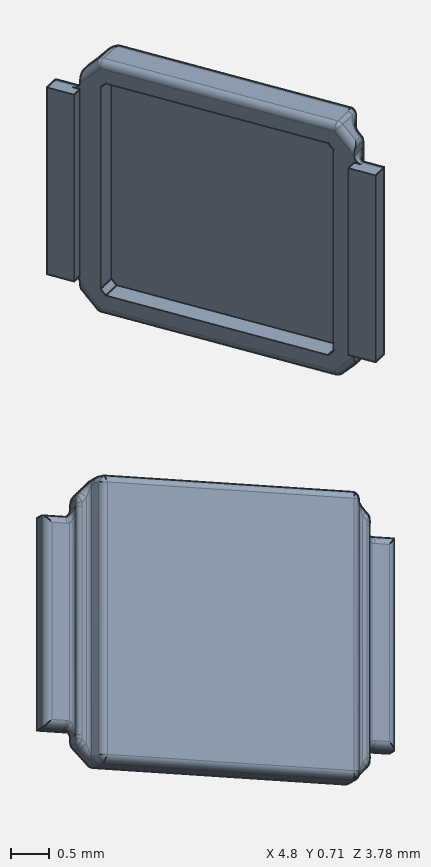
import cadquery as cq
import math

length = 4.8
height = 3.78
total_depth = 0.71

pad_width = 0.4
pad_height = 2.795
pad_top = 0.31

rim_y = 0.16
flange_y = 0.465
corner_chamfer = 0.25
crown_draft = 20.0
can_half_x = length / 2 - pad_width
can_half_z = height / 2
crown_half_x = can_half_x - corner_chamfer
crown_foot_x = crown_half_x + (total_depth - flange_y) * math.tan(math.radians(crown_draft))

pocket_length = 3.4
pocket_height = 3.17
pocket_depth = 0.3
pocket_chamfer = 0.075

edge_radius = 0.1
step_radius = 0.06

tolerance = 0.0005


def near(value, target):
    return abs(value - target) < tolerance


def fillet_where(body, radius, test):
    """Round every edge whose centre (|x|, y) passes the test."""
    chosen = [edge for edge in body.edges().vals() if test(abs(edge.Center().x), edge.Center().y)]
    return body.newObject(chosen).fillet(radius)


def chamfered_block(size_x, size_z, chamfer, y_start, y_end):
    """Block along Y with its four upright corners chamfered."""
    block = cq.Workplane("XY").box(size_x, y_end - y_start, size_z)
    block = block.edges("|Y").chamfer(chamfer)
    return block.translate((0, (y_start + y_end) / 2, 0))


def can_blank():
    """Sharp-edged can: chamfered block trimmed to the stepped profile of its X ends."""
    block = chamfered_block(2 * can_half_x, height, corner_chamfer, rim_y, total_depth)
    half_profile = [
        (can_half_x, rim_y),
        (can_half_x, flange_y),
        (crown_foot_x, flange_y),
        (crown_half_x, total_depth),
    ]
    mirrored_profile = [(-x, y) for x, y in reversed(half_profile)]
    profile = cq.Workplane("XY").polyline(half_profile + mirrored_profile).close()
    return block.intersect(profile.extrude(can_half_z, both=True))


def rim_envelope():
    """Block with a rounded rim that shares the can's Z sides and chamfers but overhangs its X ends."""
    overhang = 2 * edge_radius
    block = chamfered_block(
        2 * (can_half_x + overhang),
        height,
        corner_chamfer + overhang,
        rim_y,
        total_depth,
    )
    block = block.edges("|Y and (>Z or <Z)").fillet(edge_radius)
    return block.faces("<Y").edges().fillet(edge_radius)


def is_corner_edge(x, y):
    """True for the edges that border a corner chamfer between the rim and the closed face."""
    between_faces = rim_y + tolerance < y < total_depth - tolerance
    on_flange = near(x, can_half_x) and not near(y, flange_y)
    on_crown = near(x, crown_half_x) or crown_half_x < x < crown_foot_x
    return between_faces and (on_flange or on_crown)


def rounded_can():
    can = can_blank()
    can = fillet_where(can, step_radius, lambda x, y: near(y, flange_y) and near(x, crown_foot_x))
    can = fillet_where(can, edge_radius, is_corner_edge)
    can = fillet_where(can, step_radius, lambda x, y: y > flange_y - step_radius and near(x, can_half_x))
    can = fillet_where(can, edge_radius, lambda x, y: near(y, total_depth))
    return can.intersect(rim_envelope())


def pad():
    """Pad at the -X end, flaring with concave rounds where it meets the can wall."""
    outer_x = -length / 2
    wall_x = -can_half_x
    half_z = pad_height / 2
    side_x = wall_x - edge_radius
    top_x = wall_x - step_radius
    bend = 1 - math.sqrt(0.5)

    outline = (
        cq.Workplane("XZ")
        .moveTo(outer_x, -half_z)
        .lineTo(side_x, -half_z)
        .threePointArc(
            (wall_x - bend * edge_radius, -half_z - bend * edge_radius),
            (wall_x, -half_z - edge_radius),
        )
        .lineTo(wall_x, half_z + edge_radius)
        .threePointArc(
            (wall_x - bend * edge_radius, half_z + bend * edge_radius),
            (side_x, half_z),
        )
        .lineTo(outer_x, half_z)
        .close()
        .extrude(-total_depth)
    )
    section = (
        cq.Workplane("XY")
        .moveTo(outer_x, rim_y)
        .lineTo(outer_x, pad_top)
        .lineTo(top_x, pad_top)
        .threePointArc(
            (wall_x - bend * step_radius, pad_top + bend * step_radius),
            (wall_x, pad_top + step_radius),
        )
        .lineTo(wall_x, rim_y)
        .close()
        .extrude(can_half_z, both=True)
    )
    flared = outline.intersect(section)
    flared = fillet_where(
        flared,
        edge_radius,
        lambda x, y: y > pad_top - tolerance and x > can_half_x + tolerance,
    )
    foot = cq.Workplane("XY").box(pad_width, rim_y, pad_height)
    foot = foot.translate((wall_x - pad_width / 2, rim_y / 2, 0))
    return flared.union(foot)


pocket = chamfered_block(pocket_length, pocket_height, pocket_chamfer, rim_y, rim_y + pocket_depth)
left_pad = pad()
right_pad = left_pad.mirror("YZ")

result = rounded_can().cut(pocket).union(left_pad).union(right_pad)